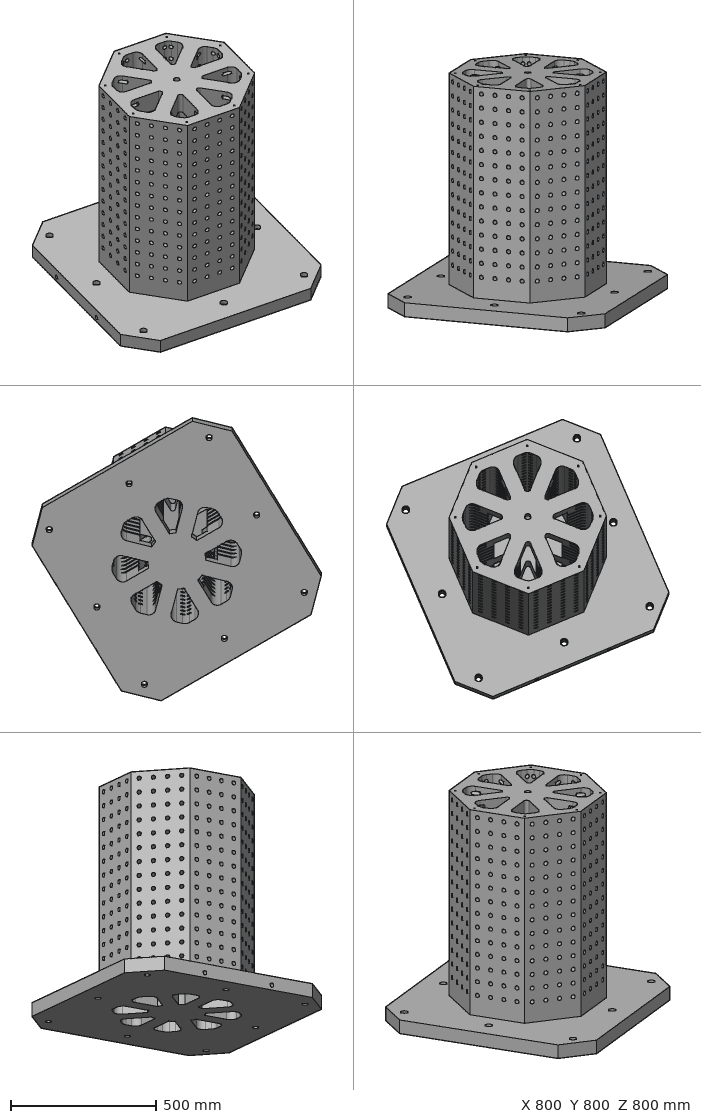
import cadquery as cq
import math

plate_size = 800.0
corner_cut = 100.0
plate_thickness = corner_cut / 2

total_height = 800.0
tower_width = 500.0
tower_height = total_height - plate_thickness
wall_thickness = 40.0
sides = 8
side_angle = 360 / sides
half_side = math.radians(side_angle / 2)

spoke_width = 55.0
pocket_tip_radius = 10.0
pocket_corner_radius = 25.0
pocket_vertex_radius = 30.0
base_hub_diameter = 200.0

row_pitch = tower_height / 15
grid_diameter = 14.0
grid_columns = 4
grid_rows = 14
first_row_depth = row_pitch / 2
web_rows = (0, 1, 7, 8)
spoke_columns = (1, 2)
pocket_hole_depth = 44.0
chamber_hole_depth = 120.0
blind_hole_depth = 80.0
drill_point_angle = 118.0

chamber_diameter = 280.0
top_web_depth = 1.5 * row_pitch
middle_web_depth = 2 * row_pitch
middle_web_center = total_height - 8 * row_pitch

center_hole_diameter = 21.0
center_hole_depth = 40.0
pin_hole_diameter = 5.0
pin_hole_depth = 16.0
pin_hole_inset = 20.0

mount_spacing = 320.0
mount_diameter = 21.0
mount_bore_diameter = 26.0
mount_bore_depth = 16.0
edge_hole_diameter = 14.0
edge_hole_depth = 40.0
edge_hole_offset = 136.0
edge_hole_height = 18.0


def cylinder(diameter, bottom, top):
    """Upright cylinder on the tower axis."""
    return cq.Workplane("XY", origin=(0, 0, bottom)).circle(diameter / 2).extrude(top - bottom)


def drill(diameter, depth):
    """Drill along +Y from the origin, with a conical point beyond the given depth."""
    radius = diameter / 2
    point_length = radius / math.tan(math.radians(drill_point_angle / 2))
    profile = [(0, 0), (radius, 0), (radius, depth), (0, depth + point_length)]
    return cq.Workplane("XY").polyline(profile).close().revolve(360, (0, 0, 0), (0, 1, 0))


def turned(shape, steps):
    """Shape turned about the tower axis by whole sides of the octagon."""
    return shape.rotate((0, 0, 0), (0, 0, 1), steps * side_angle)


def pocket():
    """Wedge between two neighbouring spokes, closed outside by two walls of the octagon."""
    half_spoke = spoke_width / 2
    inner_apothem = tower_width / 2 - wall_thickness
    tip_distance = half_spoke / math.sin(half_side)
    vertex_distance = inner_apothem / math.cos(half_side)
    corner_distance = math.hypot(inner_apothem, half_spoke)
    corner_angle = math.atan2(half_spoke, inner_apothem)
    corners = [
        (tip_distance, half_side, pocket_tip_radius),
        (corner_distance, corner_angle, pocket_corner_radius),
        (vertex_distance, half_side, pocket_vertex_radius),
        (corner_distance, 2 * half_side - corner_angle, pocket_corner_radius),
    ]
    outline = [(r * math.cos(a), r * math.sin(a)) for r, a, _ in corners]
    wedge = cq.Workplane("XY").polyline(outline).close().extrude(total_height)
    for (x, y), (_, _, radius) in zip(outline, corners):
        edge = cq.selectors.NearestToPointSelector((x, y, total_height / 2))
        wedge = wedge.edges(edge).fillet(radius)
    return wedge


def grid_hole_depth(row, column):
    """Depth of a grid hole, set by what lies behind the wall at its place."""
    if column not in spoke_columns:
        return pocket_hole_depth
    return blind_hole_depth if row in web_rows else chamber_hole_depth


def side_holes():
    """Drills for the hole grid of the side facing -Y."""
    drills = []
    for row in range(grid_rows):
        z = total_height - first_row_depth - row * row_pitch
        for column in range(grid_columns):
            x = (column - (grid_columns - 1) / 2) * row_pitch
            tool = drill(grid_diameter, grid_hole_depth(row, column))
            drills.append(tool.translate((x, -tower_width / 2, z)).val())
    return cq.Workplane(cq.Compound.makeCompound(drills))


def tower_sector():
    """The eighth of the tower behind the side facing -Y, with its holes."""
    half_width = tower_width / 2
    half_side_length = half_width * math.tan(half_side)
    sector = (
        cq.Workplane("XY", origin=(0, 0, plate_thickness))
        .polyline([(0, 0), (-half_side_length, -half_width), (half_side_length, -half_width)])
        .close()
        .extrude(tower_height)
    )
    middle_web_bottom = middle_web_center - middle_web_depth / 2
    middle_web_top = middle_web_center + middle_web_depth / 2
    wedge = pocket()
    return (
        sector.cut(turned(wedge, -2))
        .cut(turned(wedge, -3))
        .cut(cylinder(chamber_diameter, plate_thickness, middle_web_bottom))
        .cut(cylinder(chamber_diameter, middle_web_top, total_height - top_web_depth))
        .cut(side_holes(), clean=False)
    )


plate = cq.Workplane("XY").rect(plate_size, plate_size).extrude(plate_thickness)
plate = plate.edges("|Z").chamfer(corner_cut)
plate_pocket = pocket()
for side in range(sides):
    plate = plate.cut(turned(plate_pocket, side))
plate = plate.union(cylinder(base_hub_diameter, 0, plate_thickness))

places = (-mount_spacing, 0, mount_spacing)
mount_points = [(x, y) for x in places for y in places if (x, y) != (0, 0)]
mounts = cq.Workplane("XY").pushPoints(mount_points).circle(mount_diameter / 2).extrude(plate_thickness)
mount_bores = (
    cq.Workplane("XY", origin=(0, 0, plate_thickness - mount_bore_depth))
    .pushPoints(mount_points)
    .circle(mount_bore_diameter / 2)
    .extrude(mount_bore_depth)
)
plate = plate.cut(mounts).cut(mount_bores)

edge_drill = drill(edge_hole_diameter, edge_hole_depth)
for x in (-edge_hole_offset, edge_hole_offset):
    plate = plate.cut(edge_drill.translate((x, -plate_size / 2, edge_hole_height)))

sector = tower_sector()
sectors = [turned(sector, side).val() for side in range(sides)]
body = cq.Workplane(plate.val().fuse(*sectors, glue=True).clean())

center_drill = drill(center_hole_diameter, center_hole_depth).rotate((0, 0, 0), (1, 0, 0), -90)
center_drill = center_drill.translate((0, 0, total_height))

pin_circle_radius = (tower_width / 2 - pin_hole_inset) / math.cos(half_side)
pin_holes = (
    cq.Workplane("XY", origin=(0, 0, total_height - pin_hole_depth))
    .polarArray(pin_circle_radius, side_angle / 2, 360, sides)
    .circle(pin_hole_diameter / 2)
    .extrude(pin_hole_depth)
)
body = body.cut(center_drill, clean=False).cut(pin_holes, clean=False)

result = cq.Workplane(body.solids().val())